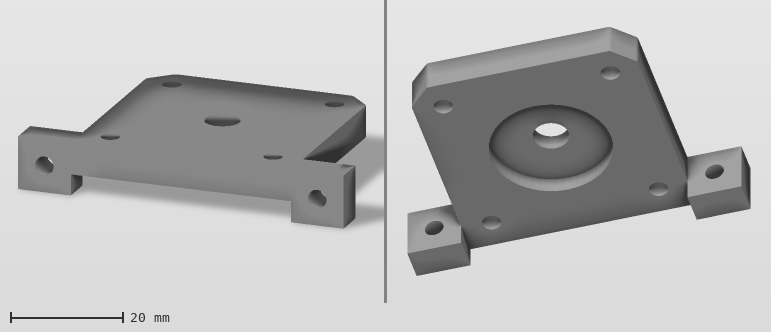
import cadquery as cq

bar_length = 62.0
plate_size = 42.0
bar_height = 10.0

plate_thickness = 6.0
bar_depth = 6.0
corner_cut = 4.0
corner_blend_radius = 1.0

screw_diameter = 3.5
plate_hole_spacing = 31.0
bar_hole_spacing = 52.0
shaft_diameter = 6.5
boss_diameter = 22.2
boss_depth = 3.0

plate_bottom = bar_height - plate_thickness
plate_center_y = plate_size / 2


def box_from_front(width, depth, bottom):
    """Box centred on X, with its front face at Y = 0 and its top at bar_height."""
    return (
        cq.Workplane("XY", origin=(0, 0, bottom))
        .rect(width, depth)
        .extrude(bar_height - bottom)
        .translate((0, depth / 2, 0))
    )


def vertical_cylinder(points, diameter, height):
    """Cylinders rising from the plate underside, placed about the plate centre."""
    return (
        cq.Workplane("XY", origin=(0, plate_center_y, plate_bottom))
        .pushPoints(points)
        .circle(diameter / 2)
        .extrude(height)
    )


plate = box_from_front(plate_size, plate_size, plate_bottom)
plate = plate.edges("|Z and >Y").chamfer(corner_cut)
plate = plate.edges("|Z").edges(
    cq.selectors.BoxSelector(
        (-plate_size, plate_center_y, 0), (plate_size, 2 * plate_size, bar_height)
    )
).fillet(corner_blend_radius)

bar = box_from_front(bar_length, bar_depth, 0)
foot_gap = (
    cq.Workplane("XY")
    .box(plate_size, bar_depth, plate_bottom, centered=(True, False, False))
)
body = plate.union(bar.cut(foot_gap))

half_spacing = plate_hole_spacing / 2
screw_points = [(x, y) for x in (-half_spacing, half_spacing) for y in (-half_spacing, half_spacing)]
center = [(0, 0)]
body = body.cut(vertical_cylinder(screw_points, screw_diameter, plate_thickness))
body = body.cut(vertical_cylinder(center, shaft_diameter, plate_thickness))
body = body.cut(vertical_cylinder(center, boss_diameter, boss_depth))

bar_holes = (
    cq.Workplane("XZ", origin=(0, 0, bar_height / 2))
    .pushPoints([(-bar_hole_spacing / 2, 0), (bar_hole_spacing / 2, 0)])
    .circle(screw_diameter / 2)
    .extrude(-bar_depth)
)
result = body.cut(bar_holes)